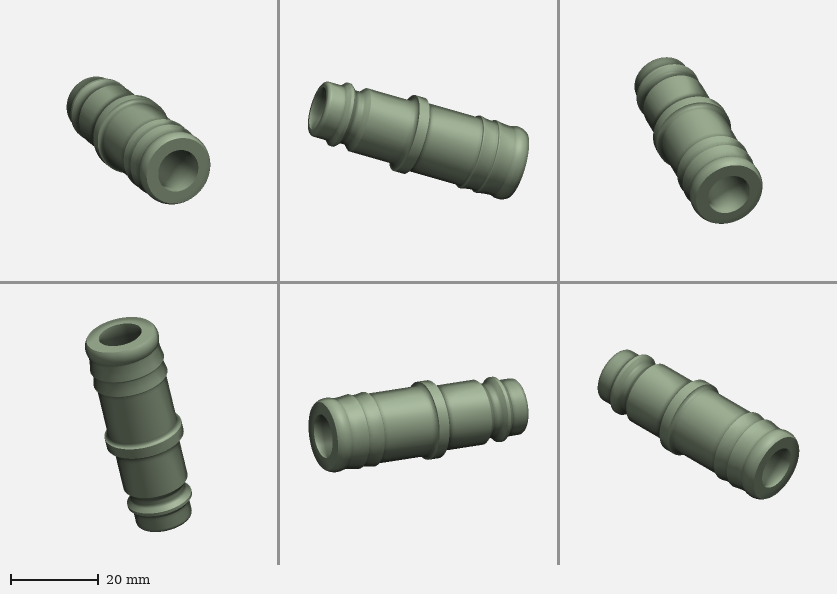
import cadquery as cq
import math

length = 49.0
tip_end = 4.15
ridge_start = 5.2
ridge_end = 5.95
groove_floor_start = 7.55
groove_floor_end = 8.4
body_start = 10.05
collar_start = 21.4
collar_end = 23.9
barb_1_face = 37.45
barb_1_end = 40.95
barb_2_face = 41.3
barb_2_end = 45.45
bead_crest = 47.15

bore_radius = 10.0 / 2
groove_radius = 12.6 / 2
tip_radius = 13.05 / 2
body_radius = 15.0 / 2
hose_radius = 16.1 / 2
collar_radius = 18.0 / 2
barb_radius = 8.6
barb_valley_radius = 8.2
bead_radius = 8.58

tip_rounding = 0.95
collar_fillet = 1.05
hose_fillet = collar_radius - hose_radius
groove_fillet = 1.0
barb_rounding = 0.25
bead_rounding = 2.85

DIAGONAL = math.sqrt(0.5)


def corner_arc(profile, center, radius, end, direction):
    """Arc about center to end, through the point halfway round in the given diagonal direction."""
    middle = (
        center[0] + direction[0] * radius * DIAGONAL,
        center[1] + direction[1] * radius * DIAGONAL,
    )
    return profile.threePointArc(middle, end)


def add_tip(profile):
    center = (tip_rounding, tip_radius - tip_rounding)
    profile = profile.lineTo(0, center[1])
    profile = corner_arc(profile, center, tip_rounding, (tip_rounding, tip_radius), (-1, 1))
    return profile.lineTo(tip_end, tip_radius)


def add_ridge_and_groove(profile):
    """Retaining ridge, then a groove whose sloping flanks blend into a flat floor."""
    center_radius = groove_radius + groove_fillet
    blend_run = groove_fillet * DIAGONAL
    blend_radius = center_radius - groove_fillet * DIAGONAL
    half_blend = math.radians(22.5)
    middle_run = groove_fillet * math.sin(half_blend)
    middle_radius = center_radius - groove_fillet * math.cos(half_blend)
    return (
        profile.lineTo(ridge_start, body_radius)
        .lineTo(ridge_end, body_radius)
        .lineTo(groove_floor_start - blend_run, blend_radius)
        .threePointArc(
            (groove_floor_start - middle_run, middle_radius),
            (groove_floor_start, groove_radius),
        )
        .lineTo(groove_floor_end, groove_radius)
        .threePointArc(
            (groove_floor_end + middle_run, middle_radius),
            (groove_floor_end + blend_run, blend_radius),
        )
        .lineTo(body_start, body_radius)
    )


def add_body_and_collar(profile):
    """Plain body and a collar with a concave fillet on each side."""
    center = (collar_start - collar_fillet, body_radius + collar_fillet)
    profile = profile.lineTo(center[0], body_radius)
    profile = corner_arc(profile, center, collar_fillet, (collar_start, center[1]), (1, -1))
    profile = profile.lineTo(collar_start, collar_radius).lineTo(collar_end, collar_radius)
    center = (collar_end + hose_fillet, collar_radius)
    return corner_arc(profile, center, hose_fillet, (center[0], hose_radius), (-1, -1))


def add_barb(profile, face, base_radius, end):
    """Square shoulder with a filleted root and rounded crest, then a hollow slope to the valley."""
    root = face - barb_rounding
    crest = face + barb_rounding
    root_center = (root, base_radius + barb_rounding)
    crest_center = (crest, barb_radius - barb_rounding)
    profile = profile.lineTo(root, base_radius)
    profile = corner_arc(profile, root_center, barb_rounding, (face, root_center[1]), (1, -1))
    profile = profile.lineTo(face, crest_center[1])
    profile = corner_arc(profile, crest_center, barb_rounding, (crest, barb_radius), (-1, 1))
    middle_radius = barb_valley_radius + (barb_radius - barb_valley_radius) / 4
    return profile.threePointArc(((crest + end) / 2, middle_radius), (end, barb_valley_radius))


def add_bead(profile):
    """Rounded end bead, a single arc cut off by the end face."""
    end_drop = bead_rounding - math.sqrt(bead_rounding**2 - (length - bead_crest) ** 2)
    return profile.threePointArc((bead_crest, bead_radius), (length, bead_radius - end_drop))


section = cq.Workplane("XY").moveTo(0, bore_radius)
section = add_tip(section)
section = add_ridge_and_groove(section)
section = add_body_and_collar(section)
section = add_barb(section, barb_1_face, hose_radius, barb_1_end)
section = add_barb(section, barb_2_face, barb_valley_radius, barb_2_end)
section = add_bead(section)
section = section.lineTo(length, bore_radius).close()

result = section.revolve(360, (0, 0, 0), (1, 0, 0))